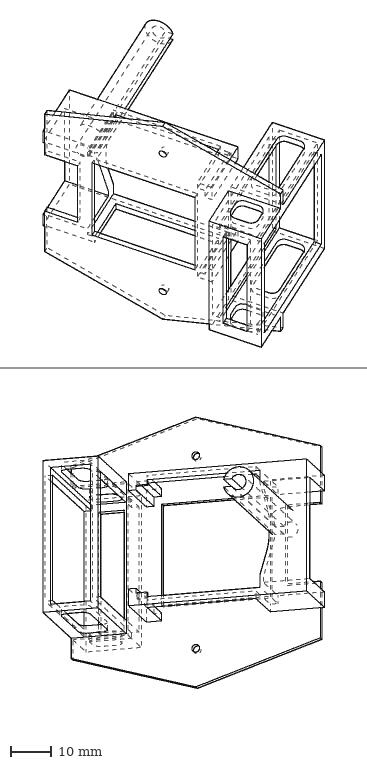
import cadquery as cq


overall_width = 66.0
plate_left = 1.05
plate_thickness = 1.5
plate_height = 70.0
shoulder_height = 49.9
screw_hole_diameter = 2.0
screw_hole_spacing = 50.0
notch_right = 10.1
notch_height = 20.45

box_length = 46.4
box_height = 34.25
box_back = 16.9
box_embed = 0.3
end_wall = 4.0
back_wall = 2.9
thin_wall = 2.0
rear_lip = 1.0
rear_lip_height = 1.2
rear_opening_right = 41.6
side_opening_height = 25.5
window_left = 14.1

tube_diameter = 7.9
tube_axis_x = 5.1
tube_bore = 3.95
tube_fillet = 4.0
slit_width = 2.0
flare_start_x = 8.95
flare_slope = 3.4

holder_width = 14.4
holder_height = 39.4
holder_depth = 37.45
holder_front = 11.5
holder_wall = 2.0
holder_side_opening_height = 32.5
face_slot_width = 6.6
face_slot_height = 31.4
rounded_window_width = 7.5
rounded_window_radius = 2.0
rear_window_margin = 2.9
rear_window_length = 18.4
front_window_start = 1.4
front_window_length = 6.4

overall_depth = 70.5

tube_end_y = overall_depth - holder_front
window_right = box_length - end_wall
window_height = box_height - 2 * end_wall
cavity_left = window_left - thin_wall
cavity_right = box_length - thin_wall
cavity_height = box_height - 2 * thin_wall
box_front = plate_thickness - box_embed
box_inner_back = box_back - back_wall
holder_left = overall_width - holder_width
holder_back = holder_depth - holder_front
holder_axis_x = overall_width - holder_width / 2


def block(x_start, x_end, y_start, y_end, height):
    """Rectangular block centred on Z = 0."""
    return (
        cq.Workplane("XY")
        .box(x_end - x_start, y_end - y_start, height, centered=(False, False, True))
        .translate((x_start, y_start, 0))
    )


def make_plate():
    """Hexagonal plate with two screw holes and a notch in its left edge."""
    middle_x = (plate_left + overall_width) / 2
    shoulder_z = shoulder_height / 2
    tip_z = plate_height / 2
    outline = [
        (plate_left, -shoulder_z),
        (middle_x, -tip_z),
        (overall_width, -shoulder_z),
        (overall_width, shoulder_z),
        (middle_x, tip_z),
        (plate_left, shoulder_z),
    ]
    plate = cq.Workplane("XZ").polyline(outline).close().extrude(-plate_thickness)
    holes = (
        cq.Workplane("XZ")
        .pushPoints([(middle_x, -screw_hole_spacing / 2), (middle_x, screw_hole_spacing / 2)])
        .circle(screw_hole_diameter / 2)
        .extrude(-plate_thickness)
    )
    notch = block(plate_left, notch_right, 0, plate_thickness, notch_height)
    return plate.cut(holes).cut(notch)


def make_box_with_tube():
    """Box open at its left end, with the tube filleted onto its back wall."""
    box = block(0, box_length, box_front, box_back, box_height)
    tube = (
        cq.Workplane("XZ", origin=(tube_axis_x, box_back, 0))
        .circle(tube_diameter / 2)
        .extrude(box_back - tube_end_y)
    )
    body = box.union(tube)
    root = cq.selectors.BoxSelector(
        (tube_axis_x - tube_diameter, box_back - back_wall / 2, -tube_diameter),
        (tube_axis_x + tube_diameter, box_back + back_wall / 2, tube_diameter),
    )
    body = body.edges(root).edges("%CIRCLE").fillet(tube_fillet)
    entrance = block(0, cavity_left, box_front, box_inner_back, window_height)
    return body.cut(entrance)


def make_box_cuts():
    """Cavity of the box and its openings to the front, back, top, bottom and right."""
    cavity = block(cavity_left, cavity_right, plate_thickness, box_back - rear_lip, cavity_height)
    rear = block(cavity_left, rear_opening_right, plate_thickness, box_back, cavity_height)
    rear_corner = block(
        rear_opening_right, cavity_right, box_inner_back, box_back, cavity_height - 2 * rear_lip_height
    )
    side = block(cavity_right, box_length, plate_thickness, box_back, side_opening_height)
    front = block(window_left, window_right, 0, plate_thickness, window_height)
    top_and_bottom = block(window_left, window_right, plate_thickness, box_inner_back, box_height)
    return cavity.union(rear).union(rear_corner).union(side).union(front).union(top_and_bottom)


def make_tube_passage():
    """Bore of the tube and the slit beside it, which flares out towards the cavity."""
    bore = (
        cq.Workplane("XZ", origin=(tube_axis_x, box_inner_back, 0))
        .circle(tube_bore / 2)
        .extrude(box_inner_back - tube_end_y)
    )
    slit = block(tube_axis_x, cavity_left, box_inner_back, tube_end_y, slit_width)
    narrow_z = slit_width / 2
    wide_z = narrow_z + flare_slope * (cavity_left - flare_start_x)
    flare_outline = [
        (flare_start_x, -narrow_z),
        (cavity_left, -wide_z),
        (window_left, -wide_z),
        (window_left, wide_z),
        (cavity_left, wide_z),
        (flare_start_x, narrow_z),
    ]
    flare = (
        cq.Workplane("XZ", origin=(0, box_inner_back, 0))
        .polyline(flare_outline)
        .close()
        .extrude(box_inner_back - tube_end_y)
    )
    return bore.union(slit).union(flare)


def make_holder_cuts():
    """Cavity of the holder and the openings through its six walls."""
    inner_left = holder_left + holder_wall
    inner_right = overall_width - holder_wall
    inner_front = holder_wall - holder_front
    inner_back = holder_back - holder_wall
    inner_height = holder_height - 2 * holder_wall
    cavity_and_back = block(inner_left, inner_right, inner_front, holder_back, inner_height)
    sides = block(holder_left, overall_width, inner_front, inner_back, holder_side_opening_height)
    face_slot = block(
        holder_axis_x - face_slot_width / 2,
        holder_axis_x + face_slot_width / 2,
        -holder_front,
        inner_front,
        face_slot_height,
    )
    cuts = cavity_and_back.union(sides).union(face_slot)
    rear_window_end = holder_back - rear_window_margin
    window_spans = [
        (rear_window_end - rear_window_length, rear_window_end),
        (-front_window_start - front_window_length, -front_window_start),
    ]
    for y_start, y_end in window_spans:
        window = block(
            holder_axis_x - rounded_window_width / 2,
            holder_axis_x + rounded_window_width / 2,
            y_start,
            y_end,
            holder_height,
        )
        cuts = cuts.union(window.edges("|Z").fillet(rounded_window_radius))
    return cuts


holder = block(holder_left, overall_width, -holder_front, holder_back, holder_height)
result = (
    make_plate()
    .union(make_box_with_tube())
    .union(holder)
    .cut(make_box_cuts())
    .cut(make_tube_passage())
    .cut(make_holder_cuts())
)